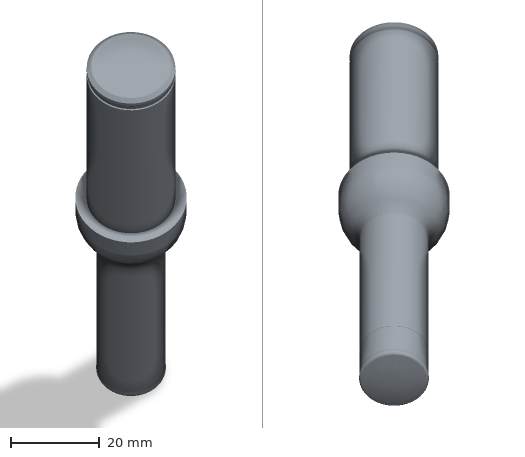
import cadquery as cq
import math

TOTAL_HEIGHT = 116.0
SHANK_LENGTH = 50.0
FLANGE_HEIGHT = 5.0
TIP_HEIGHT = 10.4

SHANK_RADIUS = 20.0 / 2
FLANGE_RADIUS = 25.0 / 2
STEM_RADIUS = 15.5 / 2
TIP_RADIUS = 15.4 / 2

SHOULDER_RADIUS = 10.0
NECK_RADIUS = SHOULDER_RADIUS / 2

CHAMFER_WIDTH = 1.0
CHAMFER_HEIGHT = 0.7
COLLAR_HEIGHT = 0.9
GROOVE_DEPTH = 0.3
GROOVE_TAPER = 0.6
GROOVE_HEIGHT = 1.6

FLARE_TOP = 2.4
FLARE_BOTTOM = 1.6
FLARE_WIDTH = 0.1
DOME_HEIGHT = 0.7
DOME_EDGE_INSET = 0.5


def make_holder():
    """Shank, flange, rounded shoulder and stem as one revolved solid."""
    flange_top = TOTAL_HEIGHT - SHANK_LENGTH
    flange_bottom = flange_top - FLANGE_HEIGHT
    chamfer_bottom = TOTAL_HEIGHT - CHAMFER_HEIGHT
    groove_top = chamfer_bottom - COLLAR_HEIGHT
    groove_bottom = groove_top - GROOVE_HEIGHT
    groove_radius = SHANK_RADIUS - GROOVE_DEPTH

    radius_drop = FLANGE_RADIUS - STEM_RADIUS
    turn = math.acos(1 - radius_drop / (SHOULDER_RADIUS + NECK_RADIUS))
    shoulder_center = FLANGE_RADIUS - SHOULDER_RADIUS
    neck_center = STEM_RADIUS + NECK_RADIUS
    neck_bottom = flange_bottom - (SHOULDER_RADIUS + NECK_RADIUS) * math.sin(turn)

    def shoulder_point(angle):
        return (
            shoulder_center + SHOULDER_RADIUS * math.cos(angle),
            flange_bottom - SHOULDER_RADIUS * math.sin(angle),
        )

    def neck_point(angle):
        return (
            neck_center - NECK_RADIUS * math.cos(angle),
            neck_bottom + NECK_RADIUS * math.sin(angle),
        )

    return (
        cq.Workplane("XZ")
        .moveTo(0, TOTAL_HEIGHT)
        .lineTo(SHANK_RADIUS - CHAMFER_WIDTH, TOTAL_HEIGHT)
        .lineTo(SHANK_RADIUS, chamfer_bottom)
        .lineTo(SHANK_RADIUS, groove_top)
        .lineTo(groove_radius, groove_top - GROOVE_TAPER)
        .lineTo(groove_radius, groove_bottom)
        .lineTo(SHANK_RADIUS, groove_bottom)
        .lineTo(SHANK_RADIUS, flange_top)
        .lineTo(FLANGE_RADIUS, flange_top)
        .lineTo(FLANGE_RADIUS, flange_bottom)
        .threePointArc(shoulder_point(turn / 2), shoulder_point(turn))
        .threePointArc(neck_point(turn / 2), (STEM_RADIUS, neck_bottom))
        .lineTo(STEM_RADIUS, TIP_HEIGHT)
        .lineTo(0, TIP_HEIGHT)
        .close()
        .revolve(360, (0, 0, 0), (0, 1, 0))
    )


def make_tip():
    """Cylindrical tip with a slightly flared, rounded rim and a shallow domed end."""
    rim_radius = TIP_RADIUS + FLARE_WIDTH
    dome_edge = rim_radius - DOME_EDGE_INSET
    dome_radius = (dome_edge**2 + DOME_HEIGHT**2) / (2 * DOME_HEIGHT)
    diagonal = math.sqrt(0.5)
    rim_middle = (
        dome_edge + DOME_EDGE_INSET * diagonal,
        FLARE_BOTTOM - (FLARE_BOTTOM - DOME_HEIGHT) * diagonal,
    )
    dome_middle = dome_edge / 2
    dome_middle_height = dome_radius - math.sqrt(dome_radius**2 - dome_middle**2)

    return (
        cq.Workplane("XZ")
        .moveTo(0, TIP_HEIGHT)
        .lineTo(TIP_RADIUS, TIP_HEIGHT)
        .lineTo(TIP_RADIUS, FLARE_TOP)
        .lineTo(rim_radius, FLARE_BOTTOM)
        .threePointArc(rim_middle, (dome_edge, DOME_HEIGHT))
        .threePointArc((dome_middle, dome_middle_height), (0, 0))
        .close()
        .revolve(360, (0, 0, 0), (0, 1, 0))
    )


holder = make_holder()
tip = make_tip()

result = cq.Compound.makeCompound([holder.val(), tip.val()])